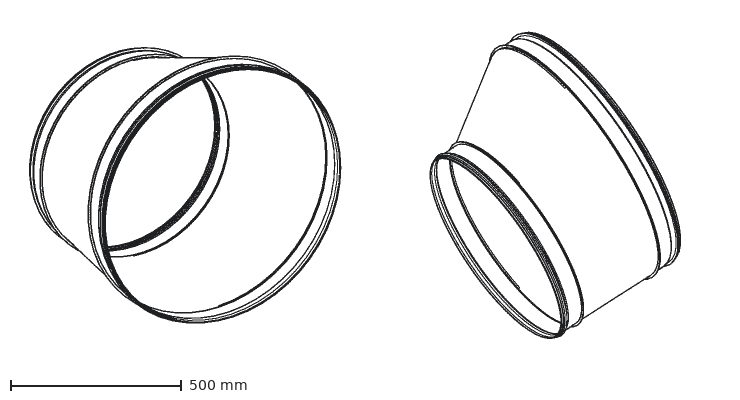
import cadquery as cq


length = 444.0
wall = 0.5
large_diameter = 798.5
small_diameter = 628.5
small_offset = (small_diameter - large_diameter) / 2

small_step_start = 23.0
large_step_start = 33.0
step_length = 3.0
small_joint = 76.0
large_joint = 84.0
stub_length = 6.5
large_face = length - large_joint

seat_drop = 2.5
flange_rise = 7.0
flange_thickness = 2.0
shoulder_rise = 2.5
tip_rise = 6.0

hem_length = 7.0
hem_bevel = 2.0
shoulder_length = 5.0
seal_end = 16.0


def revolve_end(profile, center_y, at_large_end):
    """Revolve (distance from open end, radius) points about the axis of one end."""
    points = []
    for inward, radius in profile:
        x = length - inward if at_large_end else inward
        points.append((x, center_y + radius))
    return (
        cq.Workplane("XY")
        .polyline(points)
        .close()
        .revolve(360, (0, center_y, 0), (1, center_y, 0))
    )


def make_collar(diameter, step_start, joint, center_y, at_large_end):
    """Thin pipe with a joint flange, a reduced seat and a hem folded outward."""
    pipe = diameter / 2
    seat = pipe - seat_drop
    step_end = step_start + step_length
    profile = [
        (0, seat - wall),
        (step_start, seat - wall),
        (step_end, pipe - wall),
        (joint, pipe - wall),
        (joint, pipe + flange_rise),
        (joint - flange_thickness, pipe + flange_rise),
        (joint - flange_thickness, pipe),
        (step_end, pipe),
        (step_start, seat),
        (wall, seat),
        (wall, pipe - hem_bevel),
        (hem_bevel, pipe - wall),
        (hem_length, pipe - wall),
        (hem_length, pipe),
        (hem_bevel, pipe),
        (0, pipe - hem_bevel),
    ]
    return revolve_end(profile, center_y, at_large_end)


def make_seal(diameter, center_y, at_large_end):
    """Rubber ring that fills the hem and rises behind it to a shoulder and a sharp lip."""
    pipe = diameter / 2
    seat = pipe - seat_drop
    profile = [
        (wall, seat),
        (seal_end, seat),
        (seal_end, pipe + tip_rise),
        (hem_length + shoulder_length, pipe + shoulder_rise),
        (hem_length, pipe + shoulder_rise),
        (hem_length, pipe - wall),
        (hem_bevel, pipe - wall),
        (wall, pipe - hem_bevel),
    ]
    return revolve_end(profile, center_y, at_large_end)


def disc(x, thickness, center_y, radius):
    """Solid disc on an axis parallel to X, starting at x and growing toward +X."""
    return cq.Workplane("YZ", origin=(x, center_y, 0)).circle(radius).extrude(thickness)


def make_cone_core(inset):
    """Oblique cone with a straight stub at both ends, its radii reduced by inset."""
    small_radius = small_diameter / 2 - inset
    large_radius = large_diameter / 2 - inset
    slope_start = small_joint + stub_length
    slope_end = large_face - stub_length
    slope = (
        cq.Workplane("YZ", origin=(slope_start, 0, 0))
        .center(small_offset, 0)
        .circle(small_radius)
        .workplane(offset=slope_end - slope_start)
        .center(-small_offset, 0)
        .circle(large_radius)
        .loft(ruled=True)
    )
    small_stub = disc(small_joint, stub_length, small_offset, small_radius)
    large_stub = disc(slope_end, stub_length, 0, large_radius)
    return slope.union(small_stub).union(large_stub)


def make_cone():
    """Thin cone with a flange at each contact plane."""
    small_flange = disc(small_joint, flange_thickness, small_offset, small_diameter / 2 + flange_rise)
    large_flange = disc(
        large_face - flange_thickness, flange_thickness, 0, large_diameter / 2 + flange_rise
    )
    outside = make_cone_core(0).union(small_flange).union(large_flange)
    return outside.cut(make_cone_core(wall))


cone = make_cone()
small_collar = make_collar(small_diameter, small_step_start, small_joint, small_offset, False)
large_collar = make_collar(large_diameter, large_step_start, large_joint, 0, True)
small_seal = make_seal(small_diameter, small_offset, False)
large_seal = make_seal(large_diameter, 0, True)

result = cq.Compound.makeCompound([
    cone.solids().val(),
    small_collar.val(),
    large_collar.val(),
    small_seal.val(),
    large_seal.val(),
])